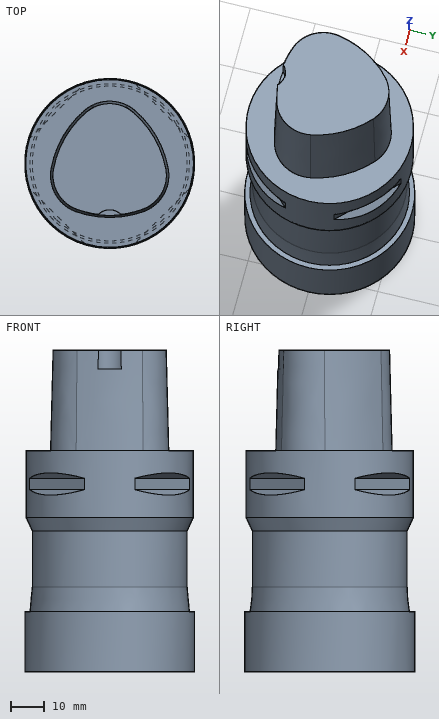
import cadquery as cq
import math

total_height = 96.0
base_height = 18.0
flare_top = 25.4
waist_top = 42.1
collar_bottom = 46.1
collar_top = 66.1

base_diameter = 50.8
flare_diameter = 47.6
waist_diameter = 46.3
collar_diameter = 50.0

lobe_count = 3
lobe_reach = 18.6
flank_reach = 16.1
lobe_radius = 11.5
shank_taper = math.degrees(math.atan(1 / 40))

keyway_radius = 4.8
keyway_depth = 5.6
keyway_wall = 13.8

groove_count = 4
groove_first_angle = 45.0
groove_height = 56.1
groove_floor_distance = 22.2
groove_floor_width = 3.4
groove_side_angle = 30.0


def polar(radius, angle):
    """Point at a radius and an angle in degrees."""
    turn = math.radians(angle)
    return (radius * math.cos(turn), radius * math.sin(turn))


def make_shank():
    """Tapered prism whose outline alternates tangent lobe and flank arcs."""
    lobe_center = lobe_reach - lobe_radius
    offset = flank_reach - lobe_radius
    flank_center = (lobe_center**2 - offset**2) / (2 * offset - lobe_center)

    lobe_half_angle = math.degrees(
        math.atan2(flank_center * math.sin(math.pi / lobe_count),
                   lobe_center + flank_center * math.cos(math.pi / lobe_count))
    )
    join_x, join_y = polar(lobe_radius, lobe_half_angle)
    join_radius = math.hypot(lobe_center + join_x, join_y)
    join_angle = math.degrees(math.atan2(join_y, lobe_center + join_x))

    pitch = 360 / lobe_count
    first_lobe = 90
    outline = cq.Workplane("XY", origin=(0, 0, collar_top))
    outline = outline.moveTo(*polar(join_radius, first_lobe - join_angle))
    for index in range(lobe_count):
        lobe = first_lobe + index * pitch
        outline = outline.threePointArc(polar(lobe_reach, lobe), polar(join_radius, lobe + join_angle))
        outline = outline.threePointArc(
            polar(flank_reach, lobe + pitch / 2), polar(join_radius, lobe + pitch - join_angle)
        )
    return outline.close().extrude(total_height - collar_top, taper=shank_taper)


def make_keyway():
    return (
        cq.Workplane("XY", origin=(0, -keyway_wall - keyway_radius, total_height - keyway_depth))
        .circle(keyway_radius)
        .extrude(keyway_depth)
    )


def make_groove(angle):
    """Trapezoid bar that cuts one gripper groove, facing outward at an angle about Z."""
    outer_distance = collar_diameter / 2
    depth = outer_distance - groove_floor_distance
    floor_half = groove_floor_width / 2
    mouth_half = floor_half + depth * math.tan(math.radians(groove_side_angle))
    section = [
        (groove_floor_distance, groove_height - floor_half),
        (outer_distance, groove_height - mouth_half),
        (outer_distance, groove_height + mouth_half),
        (groove_floor_distance, groove_height + floor_half),
    ]
    bar = cq.Workplane("XZ").polyline(section).close().extrude(collar_diameter / 2, both=True)
    return bar.rotate((0, 0, 0), (0, 0, 1), angle)


def make_holder():
    """Turned body with its collar, grooves and shank."""
    profile = [
        (0, base_height),
        (flare_diameter / 2, base_height),
        (waist_diameter / 2, flare_top),
        (waist_diameter / 2, waist_top),
        (collar_diameter / 2, collar_bottom),
        (collar_diameter / 2, collar_top),
        (0, collar_top),
    ]
    body = cq.Workplane("XZ").polyline(profile).close().revolve(360, (0, 0, 0), (0, 1, 0))
    for index in range(groove_count):
        body = body.cut(make_groove(groove_first_angle + index * 360 / groove_count))
    return body.union(make_shank().cut(make_keyway()))


def make_base():
    """Plain cylinder that the holder stands on."""
    return cq.Workplane("XY").circle(base_diameter / 2).extrude(base_height)


holder = make_holder()
base = make_base()

result = cq.Compound.makeCompound([holder.solids().val(), base.val()])